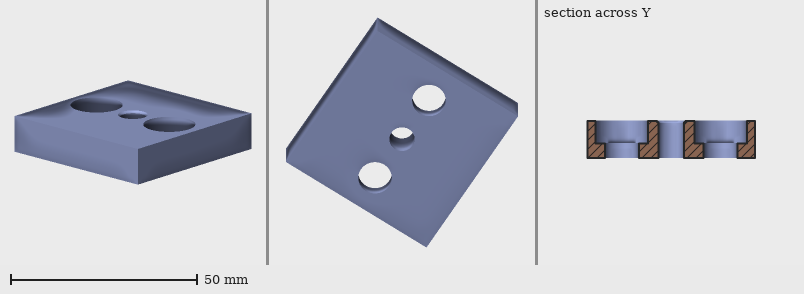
import cadquery as cq

side = 45.0
thickness = 10.0

screw_spacing = 26.5
screw_hole_diameter = 9.0
counterbore_diameter = 14.0
counterbore_depth = 6.0

center_hole_diameter = 6.8
countersink_diameter = 8.0
countersink_angle = 90.0

plate = cq.Workplane("XY").box(side, side, thickness)

with_screw_holes = (
    plate.faces(">Z")
    .workplane()
    .rarray(screw_spacing, 0.45, 2, 1)
    .cboreHole(screw_hole_diameter, counterbore_diameter, counterbore_depth)
)

result = (
    with_screw_holes.faces(">Z")
    .workplane(origin=(0, 0, 0))
    .cskHole(center_hole_diameter, countersink_diameter, countersink_angle)
)